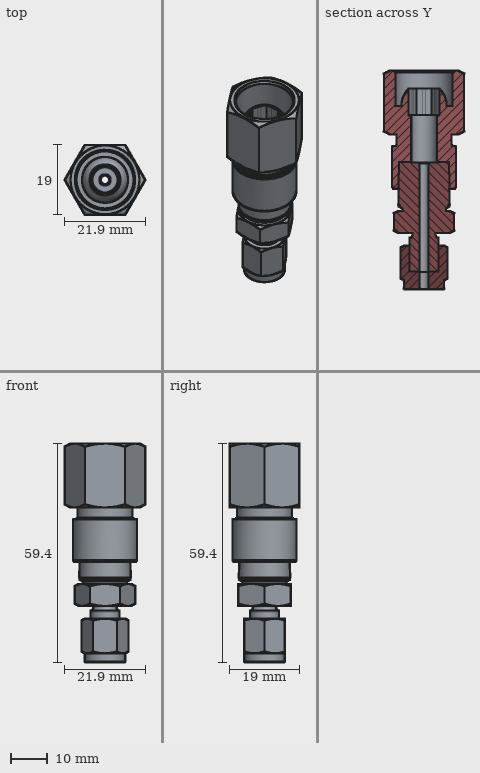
import cadquery as cq
import math


TOTAL_HEIGHT = 59.4
HEX_CHAMFER_ANGLE = 30.0
FLOW_BORE_DIA = 2.4

HOUSING_HEX_FLATS = 18.95
HOUSING_FACE_DIA = 18.65
HOUSING_HEX_BOTTOM = 41.95
HOUSING_NECK_DIA = 15.0
NECK_FLARE = 0.35
COLLAR_DIA = 17.4
COLLAR_TOP = 38.9
COLLAR_BOTTOM = 27.25
COLLAR_TOP_CHAMFER = 0.2
COLLAR_BOTTOM_CHAMFER_RADIAL = 0.3
COLLAR_BOTTOM_CHAMFER_HEIGHT = 0.5
PORT_DIA = 15.45
PORT_MOUTH_DIA = 16.35
PORT_MOUTH_DEPTH = 0.65
DOME_RADIUS = 6.25
DOME_FLAT_DIA = 8.4
DOME_TOP = 54.4
SOCKET_FLATS = 7.1
SOCKET_RELIEF_DIA = 7.2
SOCKET_DEPTH = 7.1
HOUSING_BORE_DIA = 6.9

PIPE_TAPER = 1 / 16
PIPE_THREAD_DIA = 14.1
PIPE_THREAD_BOTTOM = 23.0
PIPE_THREAD_TOP = 34.45
THREAD_GROOVE_DIA = 13.05
THREAD_GROOVE_BOTTOM = 22.7
THREAD_RING_DIA = 13.95
THREAD_RING_TOP = 22.65
THREAD_RING_BOTTOM = 22.45
CONNECTOR_NECK_DIA = 11.95
CONNECTOR_NECK_TOP = 21.9
CONNECTOR_HEX_FLATS = 14.25
CONNECTOR_FACE_DIA = 14.15
CONNECTOR_HEX_TOP = 21.3
CONNECTOR_HEX_BOTTOM = 15.25
TUBE_NECK_TOP_DIA = 6.6
TUBE_NECK_WAIST_DIA = 6.4
TUBE_NECK_BOTTOM_DIA = 7.55
TUBE_NECK_WAIST = 14.9
TUBE_NECK_BOTTOM = 14.0
TUBE_THREAD_DIA = 7.95
TUBE_THREAD_TIP_DIA = 7.85
TUBE_THREAD_TOP = 13.65
TUBE_THREAD_BOTTOM = 4.75
CONNECTOR_MOUTH_DIA = 3.05

NUT_HEX_FLATS = 11.1
NUT_FACE_DIA = 11.0
NUT_HEX_TOP = 11.9
NUT_HEX_BOTTOM = 2.45
NUT_SKIRT_CHAMFER = 0.25


def revolve_profile(radius_height_points):
    """Solid of revolution about Z from (radius, z) points, closed along the axis."""
    first_height = radius_height_points[0][1]
    last_height = radius_height_points[-1][1]
    outline = [(0, first_height), *radius_height_points, (0, last_height)]
    return cq.Workplane("XZ").polyline(outline).close().revolve(360, (0, 0, 0), (0, 1, 0))


def cylinder(diameter, bottom, top):
    return cq.Workplane("XY").workplane(offset=bottom).circle(diameter / 2).extrude(top - bottom)


def hex_prism(flats, bottom, top):
    corners = flats / math.cos(math.radians(30))
    return cq.Workplane("XY").workplane(offset=bottom).polygon(6, corners).extrude(top - bottom)


def chamfered_hex(flats, face_dia, bottom, top):
    """Hexagonal prism whose corners are turned off by a cone at both ends."""
    face_radius = face_dia / 2
    outer_radius = flats
    drop = (outer_radius - face_radius) * math.tan(math.radians(HEX_CHAMFER_ANGLE))
    envelope = revolve_profile([
        (face_radius, bottom),
        (outer_radius, bottom + drop),
        (outer_radius, top - drop),
        (face_radius, top),
    ])
    return hex_prism(flats, bottom, top).intersect(envelope)


def pipe_thread_radius(height):
    return (PIPE_THREAD_DIA - PIPE_TAPER * (height - PIPE_THREAD_BOTTOM)) / 2


def domed_port():
    """Space inside the housing port: a chamfered bore around a flat-topped dome."""
    flat_height = math.sqrt(DOME_RADIUS**2 - (DOME_FLAT_DIA / 2) ** 2)
    floor = DOME_TOP - flat_height
    bore = revolve_profile([
        (PORT_DIA / 2, floor),
        (PORT_DIA / 2, TOTAL_HEIGHT - PORT_MOUTH_DEPTH),
        (PORT_MOUTH_DIA / 2, TOTAL_HEIGHT),
    ])
    dome = cq.Workplane("XY").sphere(DOME_RADIUS).translate((0, 0, floor))
    dome = dome.intersect(cylinder(PORT_DIA, floor, DOME_TOP))
    return bore.cut(dome)


def make_housing():
    neck_radius = HOUSING_NECK_DIA / 2
    collar_radius = COLLAR_DIA / 2
    shank = revolve_profile([
        (collar_radius - COLLAR_BOTTOM_CHAMFER_RADIAL, COLLAR_BOTTOM),
        (collar_radius, COLLAR_BOTTOM + COLLAR_BOTTOM_CHAMFER_HEIGHT),
        (collar_radius, COLLAR_TOP - COLLAR_TOP_CHAMFER),
        (collar_radius - COLLAR_TOP_CHAMFER, COLLAR_TOP),
        (neck_radius + NECK_FLARE, COLLAR_TOP),
        (neck_radius, COLLAR_TOP + NECK_FLARE),
        (neck_radius, HOUSING_HEX_BOTTOM),
    ])
    head = chamfered_hex(HOUSING_HEX_FLATS, HOUSING_FACE_DIA, HOUSING_HEX_BOTTOM, TOTAL_HEIGHT)

    socket_floor = DOME_TOP - SOCKET_DEPTH
    socket = hex_prism(SOCKET_FLATS, socket_floor, DOME_TOP)
    relief = cylinder(SOCKET_RELIEF_DIA, socket_floor, DOME_TOP)
    bore = cylinder(HOUSING_BORE_DIA, PIPE_THREAD_TOP, DOME_TOP)
    pipe_thread = revolve_profile([
        (pipe_thread_radius(COLLAR_BOTTOM), COLLAR_BOTTOM),
        (pipe_thread_radius(PIPE_THREAD_TOP), PIPE_THREAD_TOP),
    ])
    body = shank.union(head).cut(domed_port())
    return body.cut(socket).cut(relief).cut(bore).cut(pipe_thread)


def make_tube_neck():
    """Neck between the hexagon and the tube thread, hollowed by one concave arc."""
    top_radius = TUBE_NECK_TOP_DIA / 2
    waist_radius = TUBE_NECK_WAIST_DIA / 2
    bottom_radius = TUBE_NECK_BOTTOM_DIA / 2
    outline = (
        cq.Workplane("XZ")
        .moveTo(0, CONNECTOR_HEX_BOTTOM)
        .lineTo(top_radius, CONNECTOR_HEX_BOTTOM)
        .threePointArc((waist_radius, TUBE_NECK_WAIST), (bottom_radius, TUBE_NECK_BOTTOM))
        .lineTo(0, TUBE_NECK_BOTTOM)
        .close()
    )
    return outline.revolve(360, (0, 0, 0), (0, 1, 0))


def make_connector():
    pipe_end = revolve_profile([
        (CONNECTOR_NECK_DIA / 2, CONNECTOR_HEX_TOP),
        (CONNECTOR_NECK_DIA / 2, CONNECTOR_NECK_TOP),
        (THREAD_RING_DIA / 2, THREAD_RING_BOTTOM),
        (THREAD_RING_DIA / 2, THREAD_RING_TOP),
        (THREAD_GROOVE_DIA / 2, THREAD_GROOVE_BOTTOM),
        (PIPE_THREAD_DIA / 2, PIPE_THREAD_BOTTOM),
        (pipe_thread_radius(PIPE_THREAD_TOP), PIPE_THREAD_TOP),
    ])
    wrench_hex = chamfered_hex(
        CONNECTOR_HEX_FLATS, CONNECTOR_FACE_DIA, CONNECTOR_HEX_BOTTOM, CONNECTOR_HEX_TOP
    )
    tube_end = revolve_profile([
        (TUBE_THREAD_DIA / 2, TUBE_THREAD_BOTTOM),
        (TUBE_THREAD_DIA / 2, TUBE_THREAD_TOP),
        (TUBE_THREAD_TIP_DIA / 2, TUBE_NECK_BOTTOM),
    ])
    mouth_depth = (CONNECTOR_MOUTH_DIA - FLOW_BORE_DIA) / 2
    flow_bore = revolve_profile([
        (FLOW_BORE_DIA / 2, TUBE_THREAD_BOTTOM),
        (FLOW_BORE_DIA / 2, PIPE_THREAD_TOP - mouth_depth),
        (CONNECTOR_MOUTH_DIA / 2, PIPE_THREAD_TOP),
    ])
    return pipe_end.union(wrench_hex).union(make_tube_neck()).union(tube_end).cut(flow_bore)


def make_nut():
    skirt_radius = NUT_HEX_FLATS / 2
    skirt = revolve_profile([
        (skirt_radius - NUT_SKIRT_CHAMFER, 0),
        (skirt_radius, NUT_SKIRT_CHAMFER),
        (skirt_radius, NUT_HEX_BOTTOM),
    ])
    wrench_hex = chamfered_hex(NUT_HEX_FLATS, NUT_FACE_DIA, NUT_HEX_BOTTOM, NUT_HEX_TOP)
    thread_recess = cylinder(TUBE_THREAD_DIA, TUBE_THREAD_BOTTOM, NUT_HEX_TOP)
    flow_bore = cylinder(FLOW_BORE_DIA, 0, TUBE_THREAD_BOTTOM)
    return skirt.union(wrench_hex).cut(thread_recess).cut(flow_bore)


housing = make_housing()
connector = make_connector()
nut = make_nut()

result = cq.Compound.makeCompound([housing.val(), connector.val(), nut.val()])